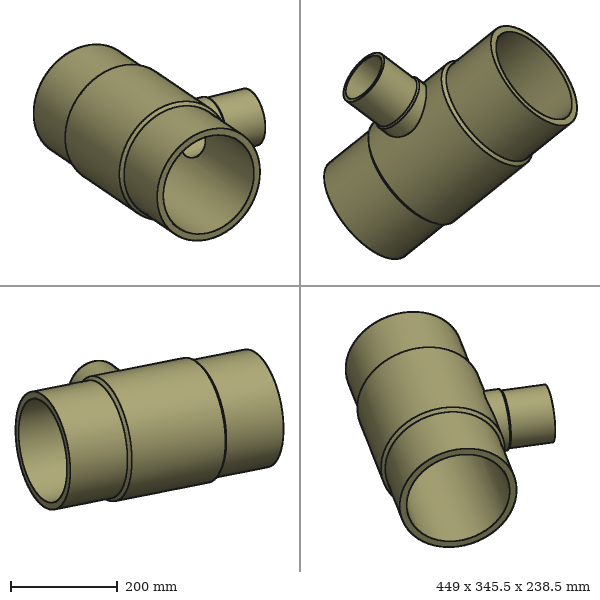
import cadquery as cq

main_length = 449.0
main_diameter = 225.0
main_wall = 13.5
main_bore = main_diameter - 2 * main_wall

sleeve_length = 208.5
sleeve_diameter = 238.5
sleeve_chamfer_length = 6.0
sleeve_chamfer_depth = (sleeve_diameter - main_diameter) / 2

overall_width = 345.5
branch_reach = overall_width - sleeve_diameter / 2
branch_diameter = 110.0
branch_wall = 6.7
branch_bore = branch_diameter - 2 * branch_wall

collar_reach = 141.0
collar_diameter = 116.7
collar_chamfer = (collar_diameter - branch_diameter) / 2


def main_cylinder(diameter, length):
    """Cylinder along X, centred on the origin."""
    return cq.Workplane("YZ").circle(diameter / 2).extrude(length / 2, both=True)


def branch_cylinder(diameter, reach):
    """Cylinder from the main axis out to Y = reach."""
    return cq.Workplane("XZ").circle(diameter / 2).extrude(-reach)


def make_sleeve():
    """Sleeve whose end chamfers run down to the main pipe surface."""
    half_length = sleeve_length / 2
    shoulder = half_length - sleeve_chamfer_length
    edge_radius = sleeve_diameter / 2 - sleeve_chamfer_depth
    return (
        cq.Workplane("XY")
        .moveTo(-half_length, 0)
        .lineTo(-half_length, edge_radius)
        .lineTo(-shoulder, sleeve_diameter / 2)
        .lineTo(shoulder, sleeve_diameter / 2)
        .lineTo(half_length, edge_radius)
        .lineTo(half_length, 0)
        .close()
        .revolve(360, (0, 0, 0), (1, 0, 0))
    )


collar = branch_cylinder(collar_diameter, collar_reach).faces(">Y").chamfer(collar_chamfer)

result = (
    main_cylinder(main_diameter, main_length)
    .union(make_sleeve())
    .union(collar)
    .union(branch_cylinder(branch_diameter, branch_reach))
    .cut(main_cylinder(main_bore, main_length))
    .cut(branch_cylinder(branch_bore, branch_reach))
)